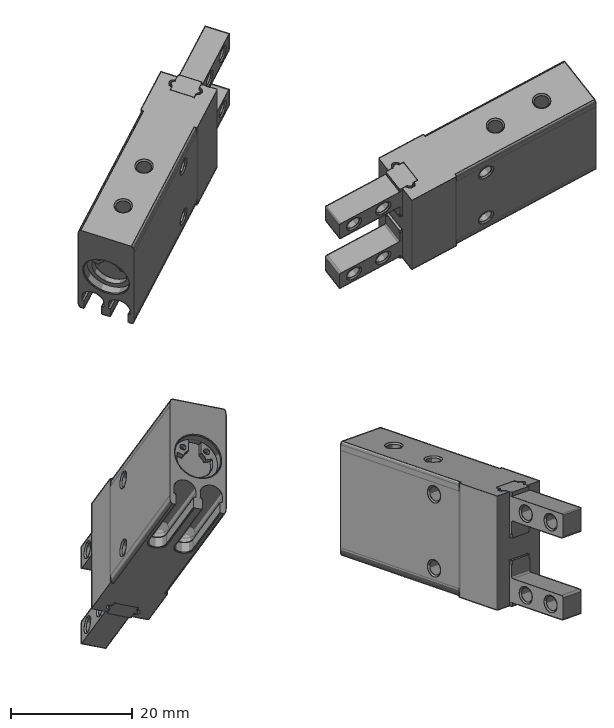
import cadquery as cq
import math


WIDTH = 10.0
HEIGHT = 20.0
HOUSING_LENGTH = 36.1
FRONT_EDGE_RADIUS = 0.15
TOP_Z = HEIGHT / 2

RELIEF_LENGTH = 27.3
RELIEF_DEPTH = 0.05
RELIEF_RAMP = 0.3
CORNER_INSET = 0.55
SHOULDER_INSET = 0.15
SHOULDER_DROP = 0.5
ROUND_DROP = 1.45
CORNER_BULGE = 0.1
ROUND_BULGE = 0.03

HOLE_DIAMETER = 2.45
COUNTERSINK_DIAMETER = 3.0
TOP_HOLE_DEPTH = 3.85
TOP_HOLE_YS = (7.45, 16.5)
SIDE_HOLE_Y = 21.55
SIDE_HOLE_Z = 6.5

BORE_DIAMETER = 8.0
BORE_MOUTH_CHAMFER = 0.15
RING_FACE_DEPTH = 1.5
RING_THICKNESS = 1.0
RING_OPENING_RADIUS = 3.15
RING_GAP = 2.2
LUG_INNER_RADIUS = 2.05
LUG_EDGE_ANGLE = 17.5
LUG_HOLE_DIAMETER = 1.0
LUG_HOLE_X = 2.1
LUG_HOLE_Z = 2.2

SLOT_X = 2.3
SLOT_LENGTH = 14.5
SLOT_RADIUS = 1.95
SLOT_NECK_RADIUS = 1.55
SLOT_CENTRE_Z = -6.95
SLOT_LEDGE_Z = -7.85
SLOT_LEDGE_DROP = 0.15
SLOT_MOUTH_CHAMFER = 0.15

FINGER_WIDTH = 4.25
TIP_Y = 48.4
ARM_THICKNESS = 4.25
ARM_OUTER_Z = 9.3
TIP_OUTER_RADIUS = 0.2
TIP_INNER_RADIUS = 0.4
ARM_ROOT_RADIUS = 0.3
FINGER_HOLE_YS = (39.85, 45.55)
BASE_FRONT_Y = 36.6
BASE_REAR_Y = 33.1
BASE_HEIGHT = 8.05
BASE_CHAMFER = 0.2
KEY_Y = 34.55
KEY_REACH = 0.45
KEY_TIP_WIDTH = 0.3
GUIDE_GROOVE_DIAMETER = 1.55
BASE_INNER_Z = TOP_Z - BASE_HEIGHT
FLANGE_INNER_Z = BASE_INNER_Z + TOP_Z - ARM_OUTER_Z


def countersunk_hole(start, direction, depth, both_ends=False):
    """Cutter for a hole that is countersunk at its start and, if it goes through, at its end."""
    radius = HOLE_DIAMETER / 2
    rim = COUNTERSINK_DIAMETER / 2
    flare = rim - radius
    origin = cq.Vector(*start)
    axis = cq.Vector(*direction)
    cutter = cq.Solid.makeCylinder(radius, depth, origin, axis)
    cutter = cutter.fuse(cq.Solid.makeCone(rim, radius, flare, origin, axis))
    if both_ends:
        far_end = origin + axis * depth
        cutter = cutter.fuse(cq.Solid.makeCone(rim, radius, flare, far_end, axis * -1))
    return cutter


def box(x_size, y_range, z_range):
    """Block centred on X = 0 that fills the given Y and Z ranges."""
    y_size = y_range[1] - y_range[0]
    z_size = z_range[1] - z_range[0]
    return cq.Workplane("XY").box(x_size, y_size, z_size, centered=(True, False, False)).translate(
        (0, y_range[0], z_range[0])
    )




def side_relief():
    """Cutter for the -X side of the rear part: a shallow flat with a ramp and two broken edges."""
    edge = -WIDTH / 2
    flat = edge + RELIEF_DEPTH
    shoulder = edge + SHOULDER_INSET
    profile = (
        cq.Workplane("XZ")
        .moveTo(edge, TOP_Z)
        .lineTo(edge + CORNER_INSET, TOP_Z)
        .sagittaArc((shoulder, TOP_Z - SHOULDER_DROP), -CORNER_BULGE)
        .sagittaArc((flat, TOP_Z - ROUND_DROP), -ROUND_BULGE)
        .lineTo(flat, ROUND_DROP - TOP_Z)
        .sagittaArc((shoulder, SHOULDER_DROP - TOP_Z), -ROUND_BULGE)
        .sagittaArc((edge + CORNER_INSET, -TOP_Z), -CORNER_BULGE)
        .lineTo(edge, -TOP_Z)
        .close()
        .extrude(-RELIEF_LENGTH)
    )
    ramp = (
        cq.Workplane("XY")
        .workplane(offset=-TOP_Z)
        .moveTo(edge, RELIEF_LENGTH)
        .lineTo(flat, RELIEF_LENGTH)
        .lineTo(edge, RELIEF_LENGTH + RELIEF_RAMP)
        .close()
        .extrude(HEIGHT)
    )
    return profile.union(ramp)


def retaining_ring_opening():
    """Cutter for the space inside the retaining ring, from the ring face to the ring back."""
    half_gap = RING_GAP / 2
    angle = math.radians(LUG_EDGE_ANGLE)
    bore_z = math.sqrt((BORE_DIAMETER / 2) ** 2 - half_gap**2)
    lug_z = math.sqrt(LUG_INNER_RADIUS**2 - half_gap**2)
    lug_middle = (angle + math.acos(half_gap / LUG_INNER_RADIUS)) / 2

    def polar(radius, turn, side):
        return side * radius * math.cos(turn), radius * math.sin(turn)

    opening = (
        cq.Workplane("XZ")
        .moveTo(half_gap, bore_z)
        .lineTo(half_gap, lug_z)
        .threePointArc(polar(LUG_INNER_RADIUS, lug_middle, 1), polar(LUG_INNER_RADIUS, angle, 1))
        .lineTo(*polar(RING_OPENING_RADIUS, angle, 1))
        .threePointArc((0, -RING_OPENING_RADIUS), polar(RING_OPENING_RADIUS, angle, -1))
        .lineTo(*polar(LUG_INNER_RADIUS, angle, -1))
        .threePointArc(polar(LUG_INNER_RADIUS, lug_middle, -1), (-half_gap, lug_z))
        .lineTo(-half_gap, bore_z)
        .threePointArc((0, BORE_DIAMETER / 2), (half_gap, bore_z))
        .close()
        .extrude(-RING_THICKNESS)
    )
    lug_holes = (
        cq.Workplane("XZ")
        .pushPoints([(-LUG_HOLE_X, LUG_HOLE_Z), (LUG_HOLE_X, LUG_HOLE_Z)])
        .circle(LUG_HOLE_DIAMETER / 2)
        .extrude(-RING_THICKNESS)
    )
    return opening.union(lug_holes).translate((0, RING_FACE_DEPTH, 0))


def rear_bore():
    """Cutter for the round recess in the rear face, with its chamfered mouth."""
    radius = BORE_DIAMETER / 2
    rim = radius + BORE_MOUTH_CHAMFER
    inward = cq.Vector(0, 1, 0)
    mouth = cq.Solid.makeCone(rim, radius, BORE_MOUTH_CHAMFER, cq.Vector(), inward)
    return cq.Workplane("XZ").circle(radius).extrude(-RING_FACE_DEPTH).union(cq.Workplane(mouth))


def slot_half_profile():
    """Right half of the slot's cross-section: round top, sloped ledge, neck and flared mouth."""
    mouth_radius = SLOT_NECK_RADIUS + SLOT_MOUTH_CHAMFER
    diagonal = SLOT_RADIUS * math.sqrt(0.5)
    return (
        cq.Workplane("XZ")
        .moveTo(0, -TOP_Z)
        .lineTo(mouth_radius, -TOP_Z)
        .lineTo(SLOT_NECK_RADIUS, SLOT_MOUTH_CHAMFER - TOP_Z)
        .lineTo(SLOT_NECK_RADIUS, SLOT_LEDGE_Z - SLOT_LEDGE_DROP)
        .lineTo(SLOT_RADIUS, SLOT_LEDGE_Z)
        .lineTo(SLOT_RADIUS, SLOT_CENTRE_Z)
        .threePointArc((diagonal, SLOT_CENTRE_Z + diagonal), (0, SLOT_CENTRE_Z + SLOT_RADIUS))
        .close()
    )


def sensor_slot():
    """Cutter for one slot: the profile swept along Y, ending in the same profile revolved about Z."""
    straight_length = SLOT_LENGTH - SLOT_RADIUS
    half = slot_half_profile().extrude(-straight_length)
    round_end = slot_half_profile().revolve(360, (0, 0, 0), (0, 1, 0)).translate((0, straight_length, 0))
    return half.union(half.mirror("YZ")).union(round_end)


def finger_pocket():
    """Cutter for the upper finger's guide: an open-fronted channel with two round grooves."""
    z_range = (BASE_INNER_Z, TOP_Z)
    channel = box(FINGER_WIDTH, (BASE_REAR_Y, HOUSING_LENGTH), z_range)
    grooves = (
        cq.Workplane("XY")
        .workplane(offset=BASE_INNER_Z)
        .pushPoints([(-FINGER_WIDTH / 2, KEY_Y), (FINGER_WIDTH / 2, KEY_Y)])
        .circle(GUIDE_GROOVE_DIAMETER / 2)
        .extrude(BASE_HEIGHT)
    )
    return channel.union(grooves)


def make_housing():
    body = box(WIDTH, (0, HOUSING_LENGTH), (-TOP_Z, TOP_Z))
    body = body.edges("|Z and >Y").fillet(FRONT_EDGE_RADIUS)

    relief = side_relief()
    body = body.cut(relief).cut(relief.mirror("YZ"))

    body = body.cut(rear_bore().union(retaining_ring_opening()))
    for side in (-1, 1):
        body = body.cut(sensor_slot().translate((side * SLOT_X, 0, 0)))

    for y in TOP_HOLE_YS:
        body = body.cut(cq.Workplane(countersunk_hole((0, y, TOP_Z), (0, 0, -1), TOP_HOLE_DEPTH)))
    flat = WIDTH / 2 - RELIEF_DEPTH
    for z in (-SIDE_HOLE_Z, SIDE_HOLE_Z):
        hole = countersunk_hole((-flat, SIDE_HOLE_Y, z), (1, 0, 0), 2 * flat, both_ends=True)
        body = body.cut(cq.Workplane(hole))

    pocket = finger_pocket()
    return body.cut(pocket).cut(pocket.mirror("XY"))




def finger_key(side):
    """Tapered ridge along the base that sits in the round groove of the housing."""
    root_x = side * FINGER_WIDTH / 2
    tip_x = side * (FINGER_WIDTH / 2 + KEY_REACH)
    half_tip = KEY_TIP_WIDTH / 2
    half_root = half_tip + KEY_REACH
    return (
        cq.Workplane("XY")
        .workplane(offset=BASE_INNER_Z)
        .polyline(
            [
                (root_x, KEY_Y - half_root),
                (tip_x, KEY_Y - half_tip),
                (tip_x, KEY_Y + half_tip),
                (root_x, KEY_Y + half_root),
            ]
        )
        .close()
        .extrude(BASE_HEIGHT)
    )


def make_upper_finger():
    base = box(FINGER_WIDTH, (BASE_REAR_Y, BASE_FRONT_Y), (BASE_INNER_Z, TOP_Z))
    base = base.edges("|Z").chamfer(BASE_CHAMFER)
    for side in (-1, 1):
        base = base.union(finger_key(side))

    arm_inner_z = ARM_OUTER_Z - ARM_THICKNESS
    arm = box(FINGER_WIDTH, (HOUSING_LENGTH, TIP_Y), (arm_inner_z, ARM_OUTER_Z))
    arm = arm.edges("|X and >Y and >Z").fillet(TIP_OUTER_RADIUS)
    arm = arm.edges("|X and >Y and <Z").fillet(TIP_INNER_RADIUS)
    arm = arm.union(box(FINGER_WIDTH, (HOUSING_LENGTH, BASE_FRONT_Y), (FLANGE_INNER_Z, ARM_OUTER_Z)))
    root_corner = cq.selectors.NearestToPointSelector((0, BASE_FRONT_Y, arm_inner_z))
    arm = arm.edges("|X").edges(root_corner).fillet(ARM_ROOT_RADIUS)

    finger = base.union(arm)
    arm_centre_z = ARM_OUTER_Z - ARM_THICKNESS / 2
    for y in FINGER_HOLE_YS:
        start = (-FINGER_WIDTH / 2, y, arm_centre_z)
        hole = countersunk_hole(start, (1, 0, 0), FINGER_WIDTH, both_ends=True)
        finger = finger.cut(cq.Workplane(hole))
    return finger


housing = make_housing()
upper_finger = make_upper_finger()
fingers = [upper_finger, upper_finger.mirror("XY")]

result = cq.Compound.makeCompound([housing.val(), *[finger.val() for finger in fingers]])